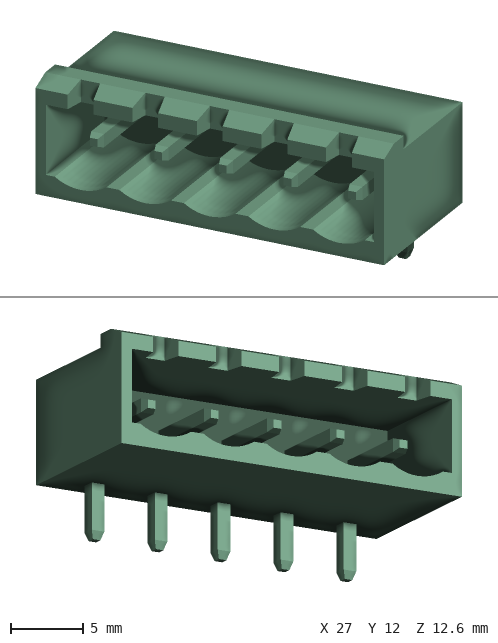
import cadquery as cq

pin_count = 5
pitch = 5.0
pin_width = 1.0
pin_tip_width = 0.6
pin_tip_length = 0.6
tail_length = 4.0
contact_height = 3.8
contact_tip_setback = 2.0
pin_from_back = 2.0

end_margin = 3.5
length = (pin_count - 1) * pitch + 2 * end_margin
depth = 12.0
height = 8.6
lip_height = 1.0
lip_depth = 3.0
bevel_depth = 1.5
bevel_drop = 0.6

end_wall = 0.8
top_wall = 1.7
floor_thickness = 1.6
cavity_depth = 9.0
trough_width = 4.0
trough_depth = 0.6

notch_front_width = 2.0
notch_back_width = 1.5
notch_depth = bevel_depth

pin_positions = [(i - (pin_count - 1) / 2) * pitch for i in range(pin_count)]
pin_y = depth - pin_from_back


def make_housing():
    """Side profile with the bevelled lip, extruded along X."""
    profile = [
        (0, 0),
        (depth, 0),
        (depth, height - lip_height),
        (lip_depth, height - lip_height),
        (lip_depth, height),
        (bevel_depth, height),
        (0, height - bevel_drop),
    ]
    return cq.Workplane("YZ").polyline(profile).close().extrude(length / 2, both=True)


def make_cavity():
    """Rectangular cavity whose floor dips in an arc below each pin."""
    half_width = length / 2 - end_wall
    ceiling = height - top_wall
    outline = cq.Workplane("XZ").moveTo(-half_width, ceiling).lineTo(-half_width, floor_thickness)
    for x in pin_positions:
        outline = outline.lineTo(x - trough_width / 2, floor_thickness)
        outline = outline.threePointArc(
            (x, floor_thickness - trough_depth),
            (x + trough_width / 2, floor_thickness),
        )
    outline = outline.lineTo(half_width, floor_thickness).lineTo(half_width, ceiling).close()
    return outline.extrude(-cavity_depth)


def make_notch(x):
    """Notch through the cavity roof, narrowing towards the back."""
    plan = [
        (x - notch_front_width / 2, 0),
        (x + notch_front_width / 2, 0),
        (x + notch_back_width / 2, notch_depth),
        (x - notch_back_width / 2, notch_depth),
    ]
    roof_bottom = cq.Workplane("XY").workplane(offset=height - top_wall)
    return roof_bottom.polyline(plan).close().extrude(top_wall)


def make_bar(start_plane, bar_length):
    """Square bar along the plane normal, ending in a tapered tip."""
    shank_length = bar_length - pin_tip_length
    shank = cq.Workplane(start_plane).rect(pin_width, pin_width).extrude(shank_length)
    tip = (
        cq.Workplane(start_plane)
        .workplane(offset=shank_length)
        .rect(pin_width, pin_width)
        .workplane(offset=pin_tip_length)
        .rect(pin_tip_width, pin_tip_width)
        .loft(ruled=True)
    )
    return shank.union(tip)


def make_pin(x):
    """Right-angle pin: contact towards -Y, solder tail towards -Z."""
    half_pin = pin_width / 2
    contact_start = cq.Plane((x, pin_y + half_pin, contact_height), (1, 0, 0), (0, -1, 0))
    tail_start = cq.Plane((x, pin_y, contact_height), (1, 0, 0), (0, 0, -1))
    contact = make_bar(contact_start, pin_y + half_pin - contact_tip_setback)
    tail = make_bar(tail_start, contact_height + tail_length)
    return contact.union(tail)


result = make_housing().cut(make_cavity())
for position in pin_positions:
    result = result.cut(make_notch(position))
for position in pin_positions:
    result = result.union(make_pin(position))